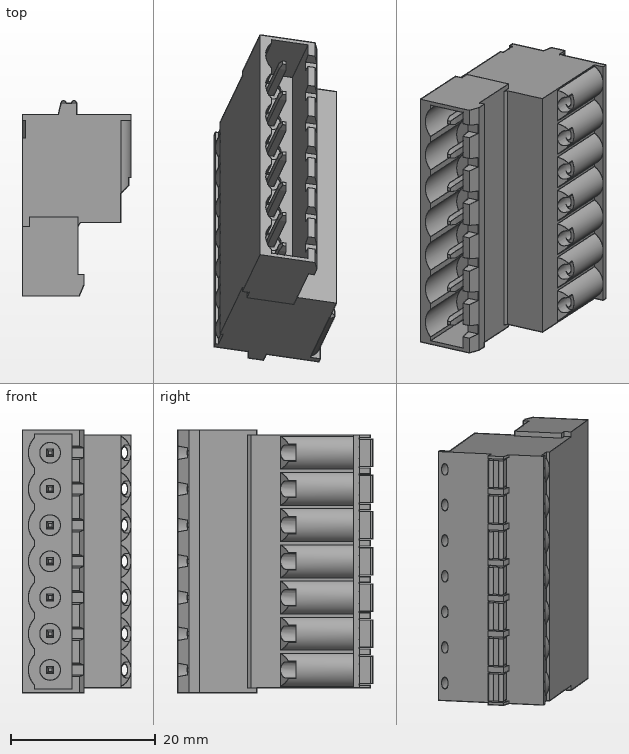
import cadquery as cq


POLE_COUNT = 7
PITCH = 5.0
POLE_HEIGHTS = [(i - (POLE_COUNT - 1) / 2) * PITCH for i in range(POLE_COUNT)]

BODY_HEIGHT = 34.95
BODY_WIDTH = 13.6
BODY_FRONT_Y = 10.15
BODY_REAR_Y = 25.1
FULL_WIDTH = 15.0
FLANGE_FRONT_Y = 24.28

SHROUD_HEIGHT = 36.32
SHROUD_WIDTH = 7.7
SHROUD_REAR_Y = 10.95
SHROUD_STEP_WIDTH = 1.0
SHROUD_STEP_Y = 9.6
GUSSET_WIDTH = 0.3
GUSSET_LENGTH = 0.5

LATCH_WIDTH = 8.52
LATCH_LENGTH = 3.0
LATCH_CHAMFER_WIDTH = 0.67
LATCH_CHAMFER_LENGTH = 1.55
SLOT_DEPTH = 1.4
SLOT_FRONT_HEIGHT = 1.88
SLOT_BACK_HEIGHT = 1.35

PIN_X = 3.82
CAVITY_DEPTH = 8.5
CAVITY_LEFT_X = 1.65
CAVITY_RIGHT_X = 6.85
CAVITY_HEIGHT = 35.25
LOBE_RADIUS = 3.0

PIN_SIDE = 1.0
PIN_TIP_SIDE = 0.5
PIN_TIP_LENGTH = 1.0
PIN_FRONT_Y = 1.3
PIN_WELL_RADIUS = 1.43
PIN_WELL_DEPTH = 0.5

GROOVE_FRONT_Y = 21.8
GROOVE_DEPTH = 0.45
GRIP_HALF_HEIGHT = 1.62
GRIP_RADIUS = (GRIP_HALF_HEIGHT**2 + GROOVE_DEPTH**2) / (2 * GROOVE_DEPTH)

RIB_RADIUS = 2.55
RIB_AXIS_X = FULL_WIDTH - RIB_RADIUS
RIB_FRONT_Y = 14.2
RIB_NOSE_X = 14.7
RIB_STEP_Y = 16.35
TEST_HOLE_X = 14.08
TEST_HOLE_HALF_WIDTH = 0.46
TEST_HOLE_HALF_HEIGHT = 0.81
LEAD_IN_X = 14.35
LEAD_IN_HALF_WIDTH = 0.7
LEAD_IN_HALF_HEIGHT = 1.1

LEVER_LEFT_X = 5.3
LEVER_RIGHT_X = 7.5
LEVER_REAR_Y = 26.65
LEVER_HEIGHT = 3.8
RIDGE_REAR_Y = 26.99
RIDGE_RADIUS = RIDGE_REAR_Y - LEVER_REAR_Y
RIDGE_INSET = 0.04
WEDGE_ROOT_X = 4.95
WEDGE_HEIGHT = 0.8


def block(x_range, y_range, z_range):
    """Box spanning the given (low, high) limits along each axis."""
    spans = [high - low for low, high in (x_range, y_range, z_range)]
    corner = (x_range[0], y_range[0], z_range[0])
    return cq.Workplane("XY").box(*spans, centered=False).translate(corner)


def centred(height, middle=0.0):
    """Z limits of a feature of the given height."""
    return (middle - height / 2, middle + height / 2)


def prism(points, z_range):
    """XY outline extruded along Z between the given limits."""
    outline = cq.Workplane("XY", origin=(0, 0, z_range[0])).polyline(points).close()
    return outline.extrude(z_range[1] - z_range[0])


def section_at(x, y, z):
    """Work plane normal to Y whose extrusions run toward +Y (local y is -Z)."""
    return cq.Workplane(cq.Plane(origin=(x, y, z), xDir=(1, 0, 0), normal=(0, 1, 0)))


def make_body():
    main = block((0, BODY_WIDTH), (BODY_FRONT_Y, BODY_REAR_Y), centred(BODY_HEIGHT))
    flange = block((0, FULL_WIDTH), (FLANGE_FRONT_Y, BODY_REAR_Y), centred(BODY_HEIGHT))
    return main.union(flange)


def make_shroud():
    outline = [
        (0, 0),
        (LATCH_WIDTH - LATCH_CHAMFER_WIDTH, 0),
        (LATCH_WIDTH, LATCH_CHAMFER_LENGTH),
        (LATCH_WIDTH, LATCH_LENGTH),
        (SHROUD_WIDTH, LATCH_LENGTH),
        (SHROUD_WIDTH, SHROUD_REAR_Y),
        (SHROUD_STEP_WIDTH, SHROUD_REAR_Y),
        (SHROUD_STEP_WIDTH, SHROUD_STEP_Y),
        (0, SHROUD_STEP_Y),
    ]
    bridge = block((0, SHROUD_WIDTH), (SHROUD_STEP_Y, SHROUD_REAR_Y), centred(BODY_HEIGHT))
    gusset = prism(
        [
            (SHROUD_WIDTH, BODY_FRONT_Y - GUSSET_LENGTH),
            (SHROUD_WIDTH + GUSSET_WIDTH, BODY_FRONT_Y),
            (SHROUD_WIDTH, BODY_FRONT_Y),
        ],
        centred(BODY_HEIGHT),
    )
    return prism(outline, centred(SHROUD_HEIGHT)).union(bridge).union(gusset)


def make_cavity():
    cavity = block((CAVITY_LEFT_X, CAVITY_RIGHT_X), (0, CAVITY_DEPTH), centred(CAVITY_HEIGHT))
    for z in POLE_HEIGHTS:
        lobe = section_at(PIN_X, 0, z).circle(LOBE_RADIUS).extrude(CAVITY_DEPTH)
        well = section_at(PIN_X, CAVITY_DEPTH, z).circle(PIN_WELL_RADIUS).extrude(PIN_WELL_DEPTH)
        cavity = cavity.union(lobe).union(well)
    envelope = block(
        (0, CAVITY_RIGHT_X),
        (0, CAVITY_DEPTH + PIN_WELL_DEPTH),
        centred(CAVITY_HEIGHT),
    )
    return cavity.intersect(envelope)


def make_latch_slot(z):
    """Keying slot through the latch lip, narrowing toward its back."""
    front = SLOT_FRONT_HEIGHT / 2
    back = SLOT_BACK_HEIGHT / 2
    side = [(0, z - front), (0, z + front), (SLOT_DEPTH, z + back), (SLOT_DEPTH, z - back)]
    outline = cq.Workplane("YZ", origin=(PIN_X, 0, 0)).polyline(side).close()
    return outline.extrude(LATCH_WIDTH - PIN_X)


def make_pin(z):
    root_y = CAVITY_DEPTH + PIN_WELL_DEPTH
    tip_base_y = PIN_FRONT_Y + PIN_TIP_LENGTH
    shank = section_at(PIN_X, tip_base_y, z).rect(PIN_SIDE, PIN_SIDE).extrude(root_y - tip_base_y)
    tip = (
        section_at(PIN_X, PIN_FRONT_Y, z)
        .rect(PIN_TIP_SIDE, PIN_TIP_SIDE)
        .workplane(offset=PIN_TIP_LENGTH)
        .rect(PIN_SIDE, PIN_SIDE)
        .loft(ruled=True)
    )
    return shank.union(tip)


def make_groove():
    """Full-height groove on the -X side, leaving a round grip at each pole."""
    y_range = (GROOVE_FRONT_Y, FLANGE_FRONT_Y)
    groove = block((0, GROOVE_DEPTH), y_range, centred(BODY_HEIGHT))
    for z in POLE_HEIGHTS:
        grip = section_at(GRIP_RADIUS, GROOVE_FRONT_Y, z).circle(GRIP_RADIUS)
        groove = groove.cut(grip.extrude(FLANGE_FRONT_Y - GROOVE_FRONT_Y))
    return groove


def make_rib(z):
    """Round rib with a stepped, 45-degree nose at its front end."""
    length = FLANGE_FRONT_Y - RIB_FRONT_Y
    round_bar = section_at(RIB_AXIS_X, RIB_FRONT_Y, z).circle(RIB_RADIUS).extrude(length)
    nose_length = RIB_NOSE_X - BODY_WIDTH
    profile = [
        (BODY_WIDTH, RIB_FRONT_Y),
        (RIB_NOSE_X, RIB_FRONT_Y + nose_length),
        (RIB_NOSE_X, RIB_STEP_Y),
        (FULL_WIDTH, RIB_STEP_Y),
        (FULL_WIDTH, FLANGE_FRONT_Y),
        (BODY_WIDTH, FLANGE_FRONT_Y),
    ]
    return round_bar.intersect(prism(profile, centred(2 * RIB_RADIUS, z)))


def make_test_hole(z):
    """Oval hole right through the rib and flange, with an open lead-in at the nose."""
    hole = section_at(TEST_HOLE_X, RIB_FRONT_Y, z)
    hole = hole.ellipse(TEST_HOLE_HALF_WIDTH, TEST_HOLE_HALF_HEIGHT).extrude(BODY_REAR_Y - RIB_FRONT_Y)
    lead_in = section_at(LEAD_IN_X, RIB_FRONT_Y, z)
    lead_in = lead_in.ellipse(LEAD_IN_HALF_WIDTH, LEAD_IN_HALF_HEIGHT).extrude(RIB_STEP_Y - RIB_FRONT_Y)
    opening = block(
        (LEAD_IN_X, FULL_WIDTH),
        (RIB_FRONT_Y, RIB_STEP_Y),
        centred(2 * LEAD_IN_HALF_HEIGHT, z),
    )
    return hole.union(lead_in).union(opening)


def make_lever(z):
    """Release lever with a half-round ridge along each long edge."""
    z_range = centred(LEVER_HEIGHT, z)
    lever = block((LEVER_LEFT_X, LEVER_RIGHT_X), (BODY_REAR_Y, LEVER_REAR_Y), z_range)
    ridge_offset = RIDGE_INSET + RIDGE_RADIUS
    for x in (LEVER_LEFT_X + ridge_offset, LEVER_RIGHT_X - ridge_offset):
        base = cq.Workplane("XY", origin=(x, LEVER_REAR_Y, z_range[0]))
        lever = lever.union(base.circle(RIDGE_RADIUS).extrude(LEVER_HEIGHT))
    return lever


def make_wedges():
    """Slanted wedges between the levers, with part wedges at the two ends of the body."""
    outline = [
        (WEDGE_ROOT_X, BODY_REAR_Y),
        (LEVER_RIGHT_X, BODY_REAR_Y),
        (LEVER_RIGHT_X, LEVER_REAR_Y),
        (LEVER_LEFT_X, LEVER_REAR_Y),
    ]
    wedges = cq.Workplane("XY")
    for i in range(POLE_COUNT + 1):
        low, high = centred(WEDGE_HEIGHT, (i - POLE_COUNT / 2) * PITCH)
        z_range = (max(low, -BODY_HEIGHT / 2), min(high, BODY_HEIGHT / 2))
        wedges = wedges.add(prism(outline, z_range))
    return wedges.combine()


result = make_body().union(make_shroud()).cut(make_cavity()).cut(make_groove())
for pole_z in POLE_HEIGHTS:
    result = result.cut(make_latch_slot(pole_z)).union(make_pin(pole_z))
    result = result.union(make_rib(pole_z)).cut(make_test_hole(pole_z))
    result = result.union(make_lever(pole_z))
result = result.union(make_wedges())